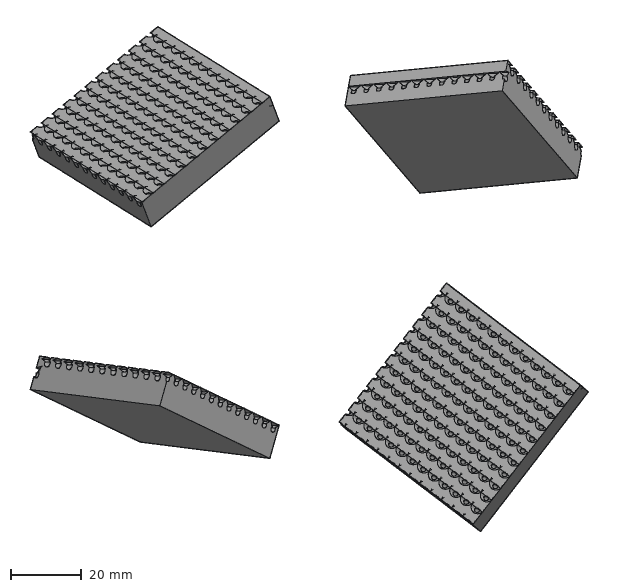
import cadquery as cq
import math

plate_side = 50.0
plate_thickness = plate_side / 5
tilt = math.radians(20)

sockets_per_side = 13
pitch = 0.08 * plate_side
grid_start = -plate_side / 2

mouth_radius = pitch / 2
chamber_radius = mouth_radius / 2
neck_radius = chamber_radius * math.sin(math.radians(45))
chamber_center_depth = mouth_radius
neck_depth = chamber_center_depth - neck_radius

half_side = plate_side / 2
half_thickness = plate_thickness / 2
ridge_y = half_side * math.cos(tilt) - half_thickness * math.sin(tilt)
ridge_z = half_side * math.sin(tilt) + half_thickness * math.cos(tilt)


def make_plate():
    """Plate centred on the origin and tilted about the X axis."""
    level_plate = cq.Workplane("XY").box(plate_side, plate_side, plate_thickness)
    return level_plate.rotate((0, 0, 0), (1, 0, 0), math.degrees(tilt))


def surface_height(y):
    """Height of the plate surface met when coming straight down at y."""
    if y > ridge_y:
        return ridge_z - (y - ridge_y) / math.tan(tilt)
    return ridge_z - (ridge_y - y) * math.tan(tilt)


def make_socket():
    """Socket cutter with the centre of its mouth at the origin."""
    half_profile = (
        cq.Workplane("XZ")
        .lineTo(-mouth_radius, 0)
        .lineTo(-neck_radius, -neck_depth)
        .threePointArc(
            (-chamber_radius, -chamber_center_depth),
            (0, -chamber_center_depth - chamber_radius),
        )
        .close()
    )
    return half_profile.revolve(360, (0, 0, 0), (0, 1, 0)).val()


def make_socket_grid():
    """All socket cutters, each with its mouth centred on the plate surface."""
    socket = make_socket()
    steps = [grid_start + index * pitch for index in range(sockets_per_side)]
    return [socket.translate(cq.Vector(x, y, surface_height(y))) for y in steps for x in steps]


drilled_plate = make_plate().val().cut(*make_socket_grid())
result = cq.Workplane(drilled_plate).solids()